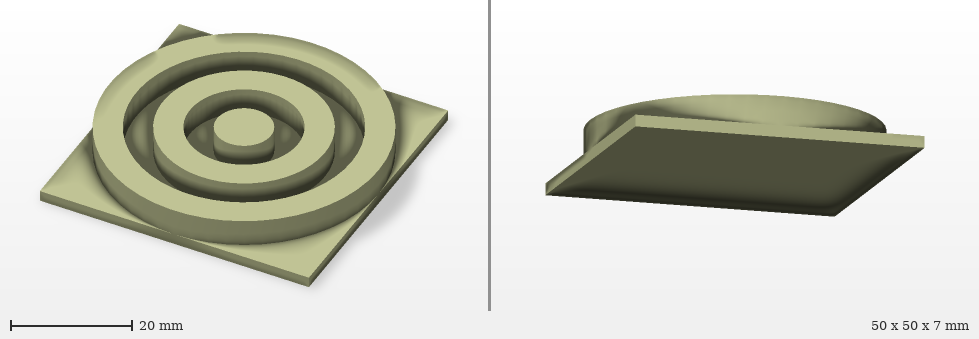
import cadquery as cq

plate_side = 50.0
plate_thickness = 2.0
ring_height = 5.0
ring_width = 5.0

pin_diameter = 2 * ring_width
outer_ring_diameter = plate_side
inner_ring_diameter = outer_ring_diameter - 4 * ring_width


def raised_ring(outer_diameter):
    """Ring standing on top of the base plate."""
    return (
        cq.Workplane("XY")
        .workplane(offset=plate_thickness)
        .circle(outer_diameter / 2)
        .circle(outer_diameter / 2 - ring_width)
        .extrude(ring_height)
    )


result = cq.Workplane("XY").rect(plate_side, plate_side).extrude(plate_thickness)

for diameter in (outer_ring_diameter, inner_ring_diameter):
    result = result.union(raised_ring(diameter))

pin = cq.Workplane("XY").circle(pin_diameter / 2).extrude(plate_thickness + ring_height)
result = result.union(pin)